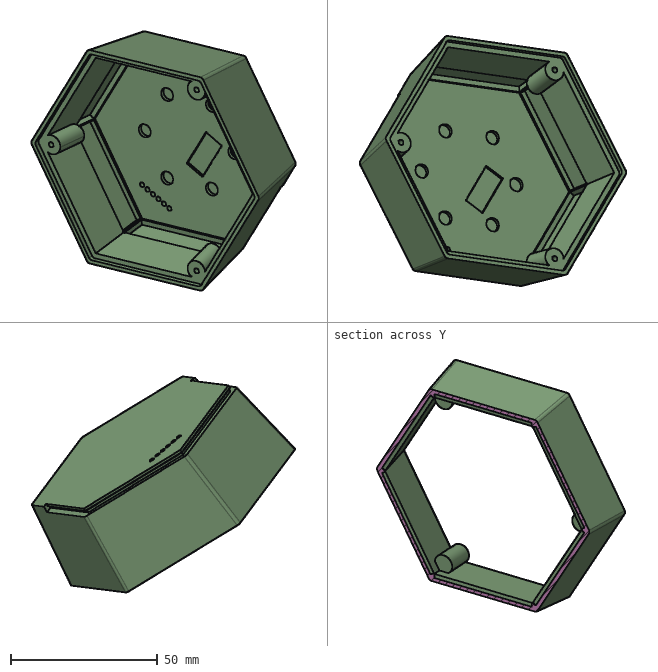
import cadquery as cq
import math

DEPTH = 32.0
OUTER_RADIUS = 46.0
DRAFT = math.tan(math.radians(7.5))
CORNER_FILLET = 1.5
HALF_SIDE_ANGLE = math.radians(30)
OUTER_APOTHEM = OUTER_RADIUS * math.cos(HALF_SIDE_ANGLE)
SIDE_ANGLES = range(0, 360, 60)

RIM_WIDTH = 1.45
SEAT_WIDTH = 1.9
SEAT_DEPTH = 2.0
FLOOR_THICKNESS = 3.0
SEAT_APOTHEM = OUTER_APOTHEM - RIM_WIDTH
CAVITY_APOTHEM = SEAT_APOTHEM - SEAT_WIDTH
FLOOR_Y = DEPTH - FLOOR_THICKNESS

SLOT_START_Y = 18.3
SLOT_WIDTH = 10.0
SLOT_DEPTH = 2.0
SLOT_CORNER_GAP = 0.3

BOSS_ANGLES = (60, 180, 300)
BOSS_RADIUS = 3.5
BOSS_PITCH_RADIUS = 38.8
BOSS_LENGTH = 12.5
SCREW_PITCH_RADIUS = 39.0
SCREW_DIAMETER = 1.85
SCREW_DEPTH = 10.0

MAGNET_DIAMETER = 4.81
MAGNET_PITCH_RADIUS = 18.0
MAGNET_DEPTH = 1.5
POCKET_ANGLE = -30
POCKET_RADIUS = 6.8
POCKET_WIDTH = 7.3
POCKET_LENGTH = 15.5
POCKET_DEPTH = 1.0
PIN_DIAMETER = 1.7
PIN_PITCH = 2.54
PIN_COUNT = 6
PIN_ROW_OFFSET = 27.2

RAIL_LIP = 1.1
RAIL_NECK = 1.1
RAIL_LIP_APOTHEM = 34.1
RAIL_NECK_APOTHEM = 33.55
RAIL_END = 26.7
RAIL_ANGLE = 240
RAIL_CUTTER_APOTHEM = 50.0


def at_depth(y):
    """Sketch plane facing the open side, Y = y; sketch axes are X and Z."""
    return cq.Workplane("XZ").workplane(offset=-y)


def polar(radius, angle):
    """X and Z of a point at the given radius and angle in degrees."""
    return (radius * math.cos(math.radians(angle)), radius * math.sin(math.radians(angle)))


def hexagon_diameter(apothem):
    return 2 * apothem / math.cos(HALF_SIDE_ANGLE)


def hexagon(y, length, apothem, center=(0, 0)):
    """Straight hexagonal prism."""
    return at_depth(y).center(*center).polygon(6, hexagon_diameter(apothem)).extrude(-length)


def drafted_hexagon(y, length, apothem):
    """Hexagonal prism that narrows with depth at the wall draft."""
    return (
        at_depth(y)
        .polygon(6, hexagon_diameter(apothem))
        .workplane(offset=-length)
        .polygon(6, hexagon_diameter(apothem - DRAFT * length))
        .loft(ruled=True)
    )


def shell():
    """Drafted cup with a stepped seat at its open face."""
    outside = drafted_hexagon(0, DEPTH, OUTER_APOTHEM)
    outside = outside.edges("not(<Y or >Y)").fillet(CORNER_FILLET)
    seat = hexagon(0, SEAT_DEPTH, SEAT_APOTHEM).edges("|Y").fillet(CORNER_FILLET)
    cavity = drafted_hexagon(SEAT_DEPTH, FLOOR_Y - SEAT_DEPTH, CAVITY_APOTHEM)
    return outside.cut(seat).cut(cavity)


def half_side(y):
    """Half the length of one cavity side at depth y."""
    return (CAVITY_APOTHEM - DRAFT * (y - SEAT_DEPTH)) * math.tan(HALF_SIDE_ANGLE)


def wall_slot():
    """Cutter for the slot in the +Z wall, square to the drafted wall face."""
    slope = math.atan(DRAFT)
    start_z = CAVITY_APOTHEM - DRAFT * (SLOT_START_Y - SEAT_DEPTH)
    start_half = half_side(SLOT_START_Y) - SLOT_CORNER_GAP
    end_half = half_side(SLOT_START_Y + SLOT_WIDTH * math.cos(slope)) - SLOT_CORNER_GAP
    wall_face = cq.Plane(
        origin=(0, SLOT_START_Y, start_z),
        xDir=(1, 0, 0),
        normal=(0, math.sin(slope), math.cos(slope)),
    )
    corners = [
        (-start_half, 0),
        (start_half, 0),
        (end_half, SLOT_WIDTH),
        (-end_half, SLOT_WIDTH),
    ]
    return cq.Workplane(wall_face).polyline(corners).close().extrude(SLOT_DEPTH)


def boss(angle):
    """Leaning round boss, from the seat part of the way down a corner."""
    lean = DRAFT / math.cos(HALF_SIDE_ANGLE) * BOSS_LENGTH
    top = polar(BOSS_PITCH_RADIUS, angle)
    bottom = polar(BOSS_PITCH_RADIUS - lean, angle)
    return (
        at_depth(SEAT_DEPTH)
        .center(*top)
        .circle(BOSS_RADIUS)
        .workplane(offset=-BOSS_LENGTH)
        .center(bottom[0] - top[0], bottom[1] - top[1])
        .circle(BOSS_RADIUS)
        .loft(ruled=True)
    )


def screw_holes():
    points = [polar(SCREW_PITCH_RADIUS, angle) for angle in BOSS_ANGLES]
    return at_depth(SEAT_DEPTH).pushPoints(points).circle(SCREW_DIAMETER / 2).extrude(-SCREW_DEPTH)


def magnet_recesses():
    points = [polar(MAGNET_PITCH_RADIUS, angle) for angle in SIDE_ANGLES]
    return at_depth(FLOOR_Y).pushPoints(points).circle(MAGNET_DIAMETER / 2).extrude(-MAGNET_DEPTH)


def floor_pocket():
    return (
        at_depth(FLOOR_Y)
        .center(*polar(POCKET_RADIUS, POCKET_ANGLE))
        .transformed(rotate=(0, 0, POCKET_ANGLE))
        .rect(POCKET_WIDTH, POCKET_LENGTH)
        .extrude(-POCKET_DEPTH)
    )


def pin_holes():
    """Row of through holes across the floor near one corner."""
    return (
        at_depth(FLOOR_Y)
        .transformed(rotate=(0, 0, POCKET_ANGLE))
        .center(0, -PIN_ROW_OFFSET)
        .rarray(PIN_PITCH, 1, PIN_COUNT, 1)
        .circle(PIN_DIAMETER / 2)
        .extrude(-FLOOR_THICKNESS)
    )


def rail_cutter():
    """Material around the rail, bounded by a hexagon shifted towards its corner."""
    rail_height = RAIL_LIP + RAIL_NECK
    rail_y = DEPTH - rail_height
    shift = (RAIL_CUTTER_APOTHEM - RAIL_END) / math.cos(HALF_SIDE_ANGLE)
    surround = hexagon(rail_y, rail_height, RAIL_CUTTER_APOTHEM, polar(shift, RAIL_ANGLE))
    neck = hexagon(rail_y, rail_height, RAIL_NECK_APOTHEM)
    lip = hexagon(DEPTH - RAIL_LIP, RAIL_LIP, RAIL_LIP_APOTHEM)
    return surround.cut(neck).cut(lip)


result = shell()
for side_angle in SIDE_ANGLES:
    result = result.cut(wall_slot().rotate((0, 0, 0), (0, 1, 0), side_angle))
for boss_angle in BOSS_ANGLES:
    result = result.union(boss(boss_angle))
for cutter in (screw_holes(), magnet_recesses(), floor_pocket(), pin_holes(), rail_cutter()):
    result = result.cut(cutter)